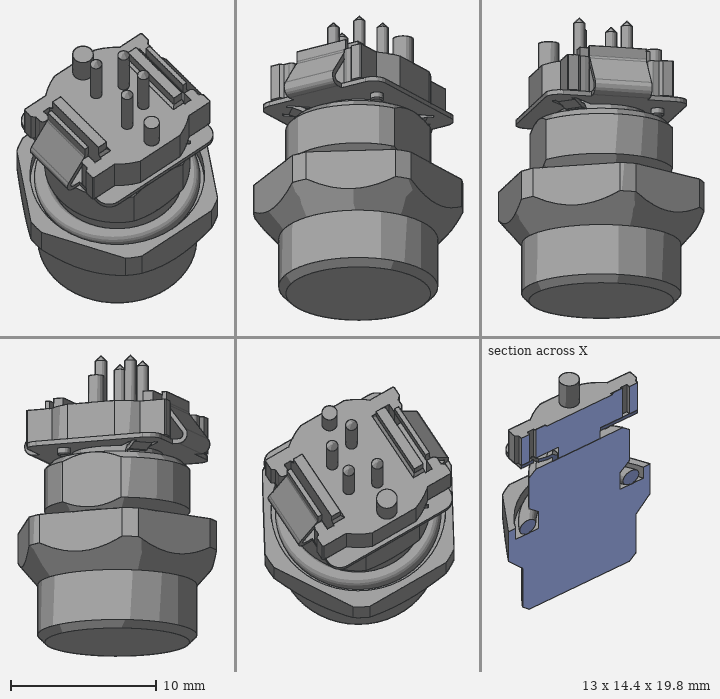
import cadquery as cq
import math

socket_radius = 5.475
socket_height = 4.0
socket_chamfer = 0.5
hex_across_flats = 13.0
hex_corner_radius = 7.195
hex_cone_top_z = 6.0
hex_top_z = 8.0
ring_recess_radius = 6.0
ring_recess_floor_z = 7.0
neck_radius = 4.33
collar_radius = 5.0
collar_across_flats = 9.0
collar_bottom_z = 8.5
collar_top_z = 12.5
collar_lower_edge_z = collar_bottom_z + collar_radius - neck_radius
collar_chamfer = 0.5

ring_section_radius = 0.6
ring_outer_radius = 5.7

sheet = 0.32
plate_bottom_z = 13.15
plate_top_z = plate_bottom_z + sheet
plate_size_x = 9.98
plate_size_y = 9.92
plate_corner_radius = 1.0
arm_width = 4.03
arm_reach = 6.06
arm_bend_radius = 0.62
arm_lean = math.radians(37)
arm_knee_radius = 0.3
arm_tip_outer_y = 4.51
arm_tip_z = 16.86
insert_neck_radius = 3.12

tongue_angles = (45, 225)
tongue_half_width = 0.66
tongue_relief_half_width = 0.95
tongue_relief_end = 5.13
tongue_root = 4.73
tongue_bend = 3.77
tongue_bend_z = 12.83
tongue_leg_inner = insert_neck_radius

block_top_z = 15.95
block_round_radius = 5.0
block_half_x = 4.68
wing_half_x = 3.77
wing_half_y = 5.2
wing_corner_chamfer = 0.08
end_notch_half_x = 3.0
end_notch_slope = 0.2
end_notch_y = plate_size_y / 2
channel_half_x = 2.08
channel_corner_radius = 0.3
slot_half_x = 2.81
slot_inner_y = 3.7
slot_outer_y = 4.24

rib_half_x = 2.5
rib_inner_y = 2.98
rib_top_z = 16.9
rib_flare = 0.2

peg_top_z = 17.95
pegs = ((-3.74, 0.71), (3.75, 0.53))

foot_radius = 0.45
foot_bottom_z = 12.67
foot_chamfer = 0.1
feet_xy = ((3.32, -2.58), (-3.32, 2.58))

pin_radius = 0.4
pin_top_z = 19.8
pins_xy = ((-1.08, 1.44), (1.08, 1.44), (-1.69, -0.5), (1.69, -0.5))


def cylinder(radius, bottom_z, top_z, x=0, y=0):
    return cq.Workplane("XY", origin=(x, y, bottom_z)).circle(radius).extrude(top_z - bottom_z)


def box(x_range, y_range, z_range):
    (x0, x1), (y0, y1), (z0, z1) = x_range, y_range, z_range
    return cq.Workplane("XY", origin=(x0, y0, z0)).box(x1 - x0, y1 - y0, z1 - z0, centered=False)


def revolve_profile(points):
    return cq.Workplane("XZ").polyline(points).close().revolve(360, (0, 0, 0), (0, 1, 0))


def both_ends(feature):
    """The feature together with its copy turned half a revolution about Z."""
    return [feature, feature.rotate((0, 0, 0), (0, 0, 1), 180)]


def make_shell():
    socket = cylinder(socket_radius, 0, socket_height).faces("<Z").chamfer(socket_chamfer)

    hexagon = (
        cq.Workplane("XY", origin=(0, 0, socket_height))
        .polygon(6, hex_across_flats / math.cos(math.pi / 6))
        .extrude(hex_top_z - socket_height)
        .rotate((0, 0, 0), (0, 0, 1), 30)
    )
    hex_envelope = revolve_profile([
        (0, socket_height),
        (socket_radius, socket_height),
        (hex_corner_radius, hex_cone_top_z),
        (hex_corner_radius, hex_top_z),
        (0, hex_top_z),
    ])
    recess = cylinder(ring_recess_radius, ring_recess_floor_z, hex_top_z)
    hexagon = hexagon.intersect(hex_envelope).cut(recess)

    neck = cylinder(neck_radius, ring_recess_floor_z, collar_bottom_z)
    collar = revolve_profile([
        (0, collar_bottom_z),
        (neck_radius, collar_bottom_z),
        (collar_radius, collar_lower_edge_z),
        (collar_radius, collar_top_z - collar_chamfer),
        (collar_radius - collar_chamfer, collar_top_z),
        (0, collar_top_z),
    ])
    flat_x = collar_across_flats / 2
    collar_flats = box((-flat_x, flat_x), (-collar_radius, collar_radius), (collar_bottom_z, collar_top_z))
    return socket.union(hexagon).union(neck).union(collar.intersect(collar_flats))


def make_ring():
    centre_radius = ring_outer_radius - ring_section_radius
    centre_z = ring_recess_floor_z + ring_section_radius
    return (
        cq.Workplane("XZ")
        .center(centre_radius, centre_z)
        .circle(ring_section_radius)
        .revolve(360, (-centre_radius, 0, 0), (-centre_radius, 1, 0))
    )


def make_arm():
    """Arm at +Y: out from the plate, round the lower bend, back up the slope and vertical at the tip."""
    bend_y = arm_reach - arm_bend_radius
    bend_z = plate_bottom_z + arm_bend_radius
    knee_y = arm_tip_outer_y + arm_knee_radius
    across = math.cos(arm_lean)
    up = math.sin(arm_lean)
    knee_z = bend_z + (arm_bend_radius + arm_knee_radius - (knee_y - bend_y) * across) / up

    def on_bend(radius, angle):
        return (bend_y + radius * math.cos(angle), bend_z + radius * math.sin(angle))

    def on_knee(radius, angle):
        return (knee_y - radius * math.cos(angle), knee_z - radius * math.sin(angle))

    outer = arm_bend_radius
    inner = arm_bend_radius - sheet
    near = arm_knee_radius
    far = arm_knee_radius + sheet
    bottom = -math.pi / 2
    bend_middle = (bottom + arm_lean) / 2
    knee_middle = arm_lean / 2
    root_y = plate_size_y / 2 - plate_corner_radius
    return (
        cq.Workplane("YZ", origin=(-arm_width / 2, 0, 0))
        .moveTo(root_y, plate_bottom_z)
        .lineTo(*on_bend(outer, bottom))
        .threePointArc(on_bend(outer, bend_middle), on_bend(outer, arm_lean))
        .lineTo(*on_knee(near, arm_lean))
        .threePointArc(on_knee(near, knee_middle), on_knee(near, 0))
        .lineTo(arm_tip_outer_y, arm_tip_z)
        .lineTo(arm_tip_outer_y - sheet, arm_tip_z)
        .lineTo(*on_knee(far, 0))
        .threePointArc(on_knee(far, knee_middle), on_knee(far, arm_lean))
        .lineTo(*on_bend(inner, arm_lean))
        .threePointArc(on_bend(inner, bend_middle), on_bend(inner, bottom))
        .lineTo(root_y, plate_top_z)
        .close()
        .extrude(arm_width)
    )


def make_tongue():
    """Tongue along +X: slopes down inwards, levels out, then a short leg stands on the collar."""
    leg_outer = tongue_leg_inner + sheet
    return (
        cq.Workplane("XZ", origin=(0, tongue_half_width, 0))
        .polyline([
            (tongue_relief_end, plate_bottom_z),
            (tongue_root, plate_bottom_z),
            (tongue_bend, tongue_bend_z),
            (leg_outer, tongue_bend_z),
            (leg_outer, collar_top_z),
            (tongue_leg_inner, collar_top_z),
            (tongue_leg_inner, tongue_bend_z),
            (leg_outer, tongue_bend_z + sheet),
            (tongue_bend, tongue_bend_z + sheet),
            (tongue_root, plate_top_z),
            (tongue_relief_end, plate_top_z),
        ])
        .close()
        .extrude(2 * tongue_half_width)
    )


def make_tongue_window():
    """Opening in the plate round a tongue along +X, out to the ends of its relief slits."""
    relief_radius = (tongue_relief_half_width - tongue_half_width) / 2
    return box(
        (0, tongue_relief_end),
        (-tongue_relief_half_width, tongue_relief_half_width),
        (plate_bottom_z, plate_top_z),
    ).edges("|Z and >X").fillet(relief_radius)


def make_clip():
    clip = (
        cq.Workplane("XY", origin=(0, 0, plate_bottom_z))
        .rect(plate_size_x, plate_size_y)
        .extrude(sheet)
        .edges("|Z")
        .fillet(plate_corner_radius)
    )
    for x, y in feet_xy:
        clip = clip.cut(cylinder(foot_radius, plate_bottom_z, plate_top_z, x, y))
    for angle in tongue_angles:
        clip = clip.cut(make_tongue_window().rotate((0, 0, 0), (0, 0, 1), angle))
        clip = clip.union(make_tongue().rotate((0, 0, 0), (0, 0, 1), angle))
    for arm in both_ends(make_arm()):
        clip = clip.union(arm)
    return clip.cut(cylinder(insert_neck_radius, collar_top_z, plate_top_z))


def make_end_cut():
    """Clearance at the +Y end of the block: arm channel, wide slot and the notch in the end face."""
    z_range = (plate_top_z, block_top_z)
    slot = box((-slot_half_x, slot_half_x), (slot_inner_y, slot_outer_y), z_range)
    round_start = channel_half_x + channel_corner_radius
    notch_floor_half_x = end_notch_half_x - end_notch_slope
    arc_offset = channel_corner_radius * (1 - math.sqrt(0.5))
    arc_x = channel_half_x + arc_offset
    arc_y = end_notch_y - arc_offset
    channel = (
        cq.Workplane("XY", origin=(0, 0, plate_top_z))
        .moveTo(-channel_half_x, slot_inner_y)
        .lineTo(-channel_half_x, end_notch_y - channel_corner_radius)
        .threePointArc((-arc_x, arc_y), (-round_start, end_notch_y))
        .lineTo(-notch_floor_half_x, end_notch_y)
        .lineTo(-end_notch_half_x, wing_half_y)
        .lineTo(end_notch_half_x, wing_half_y)
        .lineTo(notch_floor_half_x, end_notch_y)
        .lineTo(round_start, end_notch_y)
        .threePointArc((arc_x, arc_y), (channel_half_x, end_notch_y - channel_corner_radius))
        .lineTo(channel_half_x, slot_inner_y)
        .close()
        .extrude(block_top_z - plate_top_z)
    )
    return slot.union(channel)


def make_rib():
    """Upright rib beside the +Y slot, flared at its foot on the three sides away from the slot."""
    rib = box((-rib_half_x, rib_half_x), (rib_inner_y, slot_inner_y), (block_top_z, rib_top_z))
    flare = (
        cq.Workplane("XY", origin=(0, slot_inner_y, block_top_z))
        .rect(2 * (rib_half_x + rib_flare), 2 * (slot_inner_y - rib_inner_y + rib_flare))
        .extrude(rib_flare, taper=45)
    )
    inner_side = box(
        (-block_half_x, block_half_x), (0, slot_inner_y), (block_top_z, block_top_z + rib_flare)
    )
    return rib.union(flare.intersect(inner_side))


def make_insert():
    z_range = (plate_top_z, block_top_z)
    block = cylinder(block_round_radius, *z_range).intersect(
        box((-block_half_x, block_half_x), (-wing_half_y, wing_half_y), z_range)
    )
    wings = box((-wing_half_x, wing_half_x), (-wing_half_y, wing_half_y), z_range)
    insert = block.union(wings.edges("|Z").chamfer(wing_corner_chamfer))
    for end_cut in both_ends(make_end_cut()):
        insert = insert.cut(end_cut)
    for rib in both_ends(make_rib()):
        insert = insert.union(rib)
    insert = insert.union(cylinder(insert_neck_radius, collar_top_z, plate_top_z))
    for x, y in feet_xy:
        foot = cylinder(foot_radius, foot_bottom_z, plate_top_z, x, y)
        insert = insert.union(foot.faces("<Z").chamfer(foot_chamfer))
    for x, radius in pegs:
        insert = insert.union(cylinder(radius, block_top_z, peg_top_z, x))
    for x, y in pins_xy:
        insert = insert.union(make_pin().translate((x, y, 0)))
    return insert


def make_pin():
    """Contact pin with a 45 degree pointed tip."""
    return revolve_profile([
        (0, block_top_z),
        (pin_radius, block_top_z),
        (pin_radius, pin_top_z - pin_radius),
        (0, pin_top_z),
    ])


shell = make_shell()
ring = make_ring()
clip = make_clip()
insert = make_insert()

result = cq.Compound.makeCompound([
    shell.solids().val(),
    ring.solids().val(),
    clip.solids().val(),
    insert.solids().val(),
])